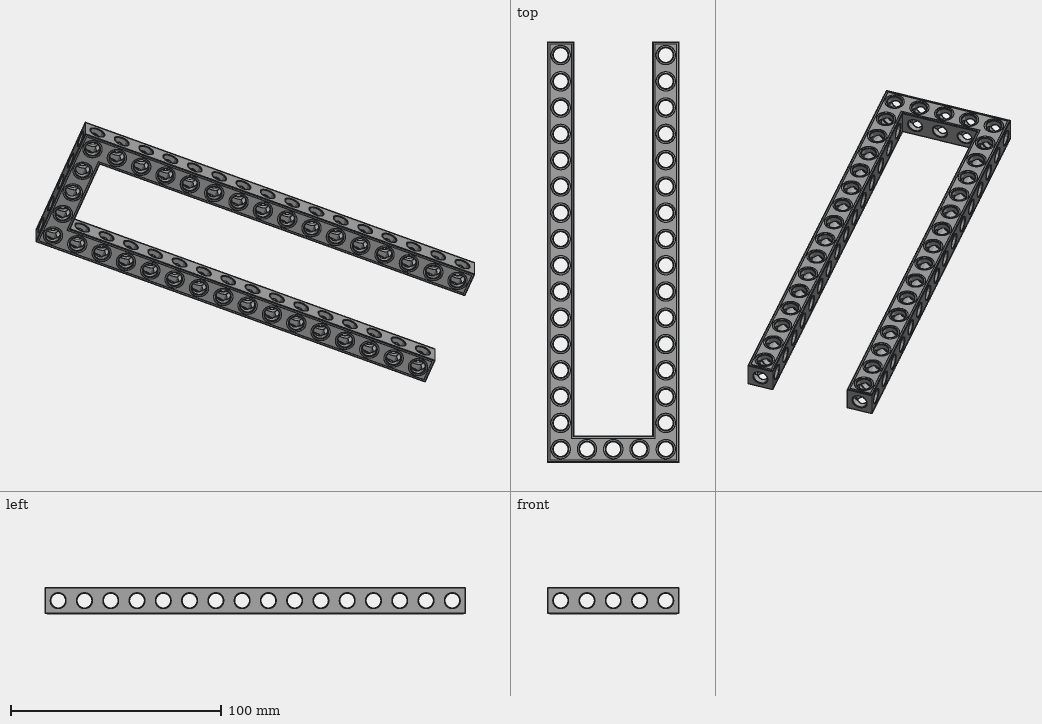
import cadquery as cq

PITCH = 12.5
CROSS_HOLES = 5
ARM_HOLES = 16
BORE_DIAMETER = 7.0
RECESS_DIAMETER = 9.2
STEP_DEPTH = 0.05
BEVEL = 0.3

WIDTH = CROSS_HOLES * PITCH
LENGTH = ARM_HOLES * PITCH
BORE_RADIUS = BORE_DIAMETER / 2
RECESS_RADIUS = RECESS_DIAMETER / 2
MOUTH_RADIUS = BORE_RADIUS + BEVEL
STEP_INSET = RECESS_RADIUS - BORE_RADIUS
CORE_HEIGHT = PITCH - 2 * STEP_DEPTH

ROW_X = [(i + 0.5) * PITCH - WIDTH / 2 for i in range(CROSS_HOLES)]
ROW_Y = [(i + 0.5) * PITCH - LENGTH / 2 for i in range(ARM_HOLES)]
ARM_X = [ROW_X[0], ROW_X[-1]]
CROSS_BAR_Y = ROW_Y[0]

ARM_CENTRES = [(x, y) for x in ARM_X for y in ROW_Y]
CROSS_BAR_CENTRES = [(x, CROSS_BAR_Y) for x in ROW_X]
BETWEEN_ARMS_CENTRES = CROSS_BAR_CENTRES[1:-1]


def u_block(inset, height):
    """Two arms joined by a cross bar at -Y, with the outline shrunk by the inset all round."""
    outer = cq.Workplane("XY").box(WIDTH - 2 * inset, LENGTH - 2 * inset, height)
    gap_width = WIDTH - 2 * PITCH + 2 * inset
    gap = cq.Workplane("XY").box(gap_width, LENGTH, height)
    return outer.cut(gap.translate((0, PITCH - inset, 0)))


def frame_body():
    """Beveled core with a slightly raised, inset pad on its upper and lower faces."""
    core = u_block(0, CORE_HEIGHT).faces("|Z").edges().chamfer(BEVEL)
    return core.union(u_block(STEP_INSET, PITCH))


def revolve_about_z(half_profile):
    """Solid of revolution from the (radius, height) points of its upper and lower halves."""
    mirrored = [(radius, -height) for radius, height in reversed(half_profile)]
    outline = cq.Workplane("XZ").polyline(half_profile + mirrored).close()
    return outline.revolve(360, (0, 0), (0, 1))


def plain_hole_cutter():
    """Bore through one bar, beveled at both mouths, along Z."""
    face = PITCH / 2
    return revolve_about_z([(0, face), (MOUTH_RADIUS, face), (BORE_RADIUS, face - BEVEL)])


def recessed_hole_cutter():
    """Bore through one bar whose beveled mouths lie at the bottom of shallow recesses."""
    face = PITCH / 2
    seat = CORE_HEIGHT / 2
    return revolve_about_z([
        (0, face),
        (RECESS_RADIUS, face),
        (RECESS_RADIUS, seat),
        (MOUTH_RADIUS, seat),
        (BORE_RADIUS, seat - BEVEL),
    ])


def cut_at(body, cutter, centres):
    """Remove a copy of the cutter at each (x, y) centre."""
    shape = cutter.val()
    copies = [shape.moved(cq.Location(cq.Vector(x, y, 0))) for x, y in centres]
    return body.cut(cq.Workplane(obj=cq.Compound.makeCompound(copies)))


def cut_long_bore(body, plane, offset, length):
    """Remove a plain bore that is centred on the given plane and crosses the whole part."""
    bore = cq.Workplane(plane).center(offset, 0).circle(BORE_RADIUS)
    return body.cut(bore.extrude(length / 2, both=True))


def cut_vertical_holes(body):
    return cut_at(body, recessed_hole_cutter(), ARM_CENTRES + BETWEEN_ARMS_CENTRES)


def cut_crosswise_holes(body):
    """Holes along X through both arms; the row in the cross bar runs its full width."""
    along_x = plain_hole_cutter().rotate((0, 0, 0), (0, 1, 0), 90)
    arms_bored = cut_at(body, along_x, ARM_CENTRES)
    return cut_long_bore(arms_bored, "YZ", CROSS_BAR_Y, WIDTH)


def cut_lengthwise_holes(body):
    """Holes along Y through the cross bar; the outer two run the full length of the arms."""
    along_y = plain_hole_cutter().rotate((0, 0, 0), (1, 0, 0), 90)
    arm_ends = [(x, ROW_Y[-1]) for x in ARM_X]
    body = cut_at(body, along_y, CROSS_BAR_CENTRES + arm_ends)
    for x in ARM_X:
        body = cut_long_bore(body, "XZ", x, LENGTH)
    return body


frame = frame_body()
frame = cut_vertical_holes(frame)
frame = cut_crosswise_holes(frame)
result = cut_lengthwise_holes(frame)